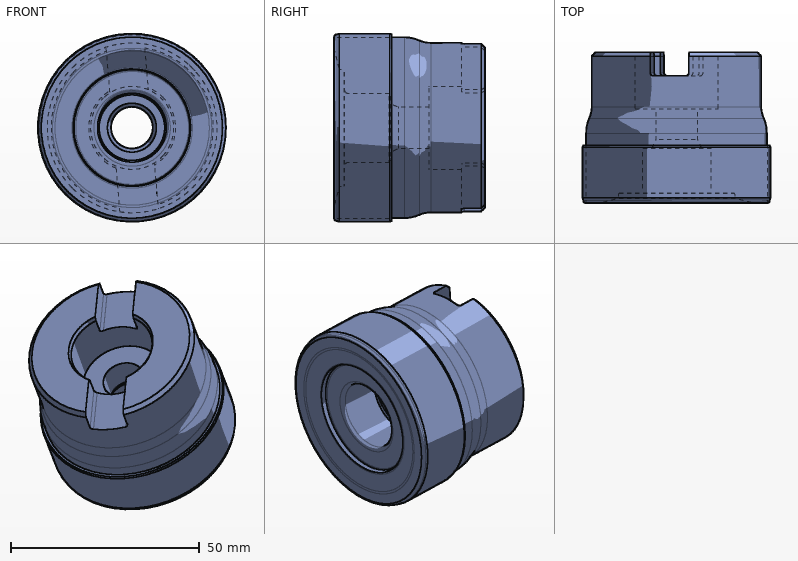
import cadquery as cq
import math


outer_radius = 24.95
length = 40.0

sleeve_length = 15.35
sleeve_rear_chamfer = 0.55
sleeve_rear_bevel = 0.25
sleeve_taper_start = 1.4
sleeve_taper_end = 0.8
sleeve_taper_drop = 0.2

shoulder_radius = 48.0 / 2
neck_radius = 45.0 / 2
shoulder_end = 18.55
convex_length = 4.0
concave_length = 3.05
rear_chamfer = 1.05

lip_radius = 21.1
dish_radius = 20.45
dish_edge_depth = 0.1
seat_rim_radius = 15.95
seat_rim_depth = 1.25
seat_top_radius = 15.55
seat_wall_end_radius = 15.35
seat_wall_end_depth = 2.6
seat_floor_radius = 14.95
seat_floor_depth = 2.75

front_bore_radius = 18.25 / 2
front_bore_rounding = 1.0
front_bore_end = 14.5
front_floor_radius = 8.7
front_floor_depth = 14.95
hole_mouth_radius = 6.5
hole_radius = 11.0 / 2
hole_taper_length = 2.0
rear_bore_radius = 22.0 / 2
rear_bore_mouth_radius = 23.0 / 2
rear_bore_chamfer_length = 1.1
rear_bore_depth = 14.95

slot_width = 10.25
slot_depth = 6.25
slot_corner_radius = 0.75
slot_tilt = 4.8

AXIS_START = (0, 0, 0)
AXIS_END = (0, 1, 0)


def make_sleeve():
    """Thin ring around the front of the hub, rounded in front and chamfered behind."""
    taper_radius = outer_radius - sleeve_taper_drop
    nose_width = taper_radius - shoulder_radius
    nose_mid = (
        shoulder_radius + nose_width * math.sin(math.pi / 4),
        sleeve_taper_end * (1 - math.cos(math.pi / 4)),
    )
    return (
        cq.Workplane("XY")
        .moveTo(shoulder_radius, 0)
        .threePointArc(nose_mid, (taper_radius, sleeve_taper_end))
        .lineTo(outer_radius, sleeve_taper_start)
        .lineTo(outer_radius, sleeve_length - sleeve_rear_chamfer)
        .lineTo(outer_radius - sleeve_rear_bevel, sleeve_length)
        .lineTo(shoulder_radius, sleeve_length)
        .close()
        .revolve(360, AXIS_START, AXIS_END)
    )


def make_hub_body():
    """Turned hub with its outer contour, dished front and stepped through bore."""
    transition_length = convex_length + concave_length
    convex_drop = (shoulder_radius - neck_radius) * convex_length / transition_length
    blend_point = (shoulder_radius - convex_drop, shoulder_end + convex_length)
    neck_start = (neck_radius, shoulder_end + transition_length)
    rounding_end = seat_floor_depth + front_bore_rounding
    rear_floor = length - rear_bore_depth
    rounding_mid = (
        front_bore_radius + front_bore_rounding * (1 - math.sin(math.pi / 4)),
        rounding_end - front_bore_rounding * math.cos(math.pi / 4),
    )
    return (
        cq.Workplane("XY")
        .moveTo(lip_radius, 0)
        .lineTo(shoulder_radius, 0)
        .lineTo(shoulder_radius, shoulder_end)
        .tangentArcPoint(blend_point, relative=False)
        .tangentArcPoint(neck_start, relative=False)
        .lineTo(neck_radius, length - rear_chamfer)
        .lineTo(neck_radius - rear_chamfer, length)
        .lineTo(rear_bore_mouth_radius, length)
        .lineTo(rear_bore_radius, length - rear_bore_chamfer_length)
        .lineTo(rear_bore_radius, rear_floor)
        .lineTo(hole_radius, rear_floor)
        .lineTo(hole_radius, front_floor_depth + hole_taper_length)
        .lineTo(hole_mouth_radius, front_floor_depth)
        .lineTo(front_floor_radius, front_floor_depth)
        .lineTo(front_bore_radius, front_bore_end)
        .lineTo(front_bore_radius, rounding_end)
        .threePointArc(rounding_mid, (front_bore_radius + front_bore_rounding, seat_floor_depth))
        .lineTo(seat_floor_radius, seat_floor_depth)
        .tangentArcPoint((seat_wall_end_radius, seat_wall_end_depth), relative=False)
        .lineTo(seat_top_radius, seat_rim_depth)
        .lineTo(seat_rim_radius, seat_rim_depth)
        .lineTo(dish_radius, dish_edge_depth)
        .tangentArcPoint((lip_radius, 0), relative=False)
        .close()
        .revolve(360, AXIS_START, AXIS_END)
    )


def make_slot_cutter():
    """Tilted bar that opens the rear end on both sides, with rounded floor corners."""
    return (
        cq.Workplane("XY")
        .box(slot_width, 2 * slot_depth, 2 * outer_radius)
        .edges("|Z and <Y")
        .fillet(slot_corner_radius)
        .translate((0, length, 0))
        .rotate(AXIS_START, AXIS_END, -slot_tilt)
    )


sleeve = make_sleeve()
hub = make_hub_body().cut(make_slot_cutter())

result = cq.Compound.makeCompound([hub.val(), sleeve.val()])